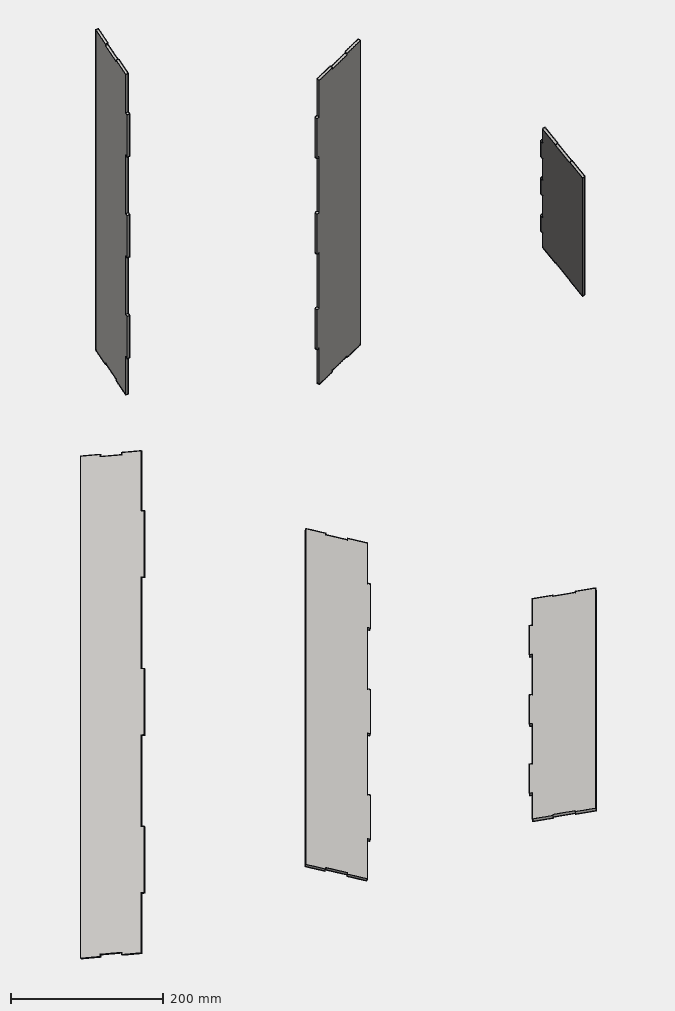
import cadquery as cq

thickness = 4.0
overall_width = 89.0
height = 681.0

tab_projection = 4.0
tab_length = 90.0
tab_spacing = 214.0
tab_count = 3

notch_width = 30.0
notch_depth = 3.0

body_width = overall_width - tab_projection


def plate():
    """Flat panel with its lower left corner at the origin."""
    return cq.Workplane("XY").box(body_width, thickness, height, centered=False)


def tab(center_z):
    """Full-thickness tab standing out from the +X edge."""
    return (
        cq.Workplane("XY")
        .box(tab_projection, thickness, tab_length, centered=False)
        .translate((body_width, 0, center_z - tab_length / 2))
    )


def edge_notch(bottom_z):
    """Cutter for a through notch centred on the panel width."""
    return (
        cq.Workplane("XY")
        .box(notch_width, thickness, notch_depth, centered=False)
        .translate(((body_width - notch_width) / 2, 0, bottom_z))
    )


panel = plate()

for index in range(tab_count):
    offset = (index - (tab_count - 1) / 2) * tab_spacing
    panel = panel.union(tab(height / 2 + offset))

for notch_bottom in (0, height - notch_depth):
    panel = panel.cut(edge_notch(notch_bottom))

result = panel